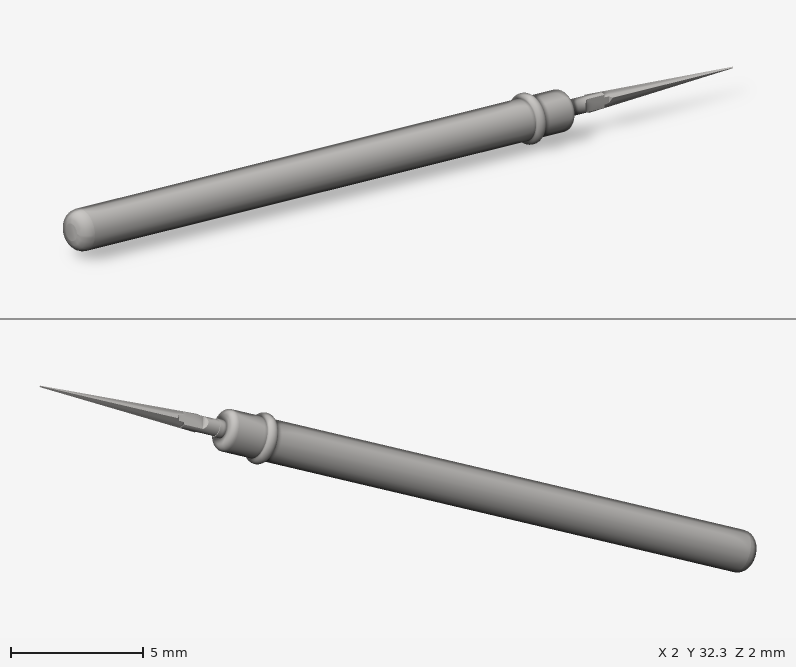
import cadquery as cq
import math

total_length = 32.3
handle_length = 24.03
front_y = -total_length / 2
shoulder_y = front_y + handle_length
tip_y = total_length / 2

handle_diameter = 1.65
handle_radius = handle_diameter / 2
front_fillet = 0.5
shoulder_fillet = 0.242

bead_outer_radius = 1.0
bead_tube_radius = 0.242
bead_setback = 1.78

collar_radius = 0.35
collar_length = 0.3
shank_radius = 0.32
shank_length = 1.85

needle_root_half_diagonal = 0.35
needle_tip_half_diagonal = 0.03
needle_twist_degrees = 20
needle_start = 1.13

flat_half_thickness = 0.2
flat_start = 0.78
flat_end = 2.25
flat_ramp = 0.2


def make_rod(start_y, radius, length):
    """Round rod along the part axis, growing toward +Y."""
    plane = cq.Plane(origin=(0, start_y, 0), xDir=(1, 0, 0), normal=(0, 1, 0))
    return cq.Workplane(plane).circle(radius).extrude(length)


def make_handle():
    rod = make_rod(front_y, handle_radius, handle_length)
    rod = rod.faces("<Y").edges().fillet(front_fillet)
    return rod.faces(">Y").edges().fillet(shoulder_fillet)


def make_bead():
    """Ring of round section whose inner part is buried in the handle."""
    section_radius = bead_outer_radius - bead_tube_radius
    inner_radius = section_radius - bead_tube_radius
    return (
        cq.Workplane("XY", origin=(0, shoulder_y - bead_setback, 0))
        .moveTo(inner_radius, -bead_tube_radius)
        .lineTo(section_radius, -bead_tube_radius)
        .threePointArc((bead_outer_radius, 0), (section_radius, bead_tube_radius))
        .lineTo(inner_radius, bead_tube_radius)
        .close()
        .revolve(360, (0, 0, 0), (0, 1, 0))
    )


def square_section(y, half_diagonal, turn_degrees):
    """Square wire at y; a zero turn puts its corners on the X and Z axes."""
    corners = []
    for corner in range(4):
        angle = math.radians(turn_degrees + 90 * corner)
        corners.append(cq.Vector(half_diagonal * math.cos(angle), y, half_diagonal * math.sin(angle)))
    return cq.Wire.makePolygon(corners, close=True)


def make_needle():
    root = square_section(shoulder_y + needle_start, needle_root_half_diagonal, needle_twist_degrees)
    tip = square_section(tip_y, needle_tip_half_diagonal, 0)
    return cq.Workplane(obj=cq.Solid.makeLoft([root, tip], True))


def make_flat_cutter(side):
    """Trapezoidal cutter with a sloped run-out at each end; side is +1 or -1."""
    start_y = shoulder_y + flat_start
    end_y = shoulder_y + flat_end
    inner_x = side * flat_half_thickness
    outer_x = side * needle_root_half_diagonal
    return (
        cq.Workplane("XY")
        .moveTo(outer_x, start_y)
        .lineTo(inner_x, start_y + flat_ramp)
        .lineTo(inner_x, end_y - flat_ramp)
        .lineTo(outer_x, end_y)
        .close()
        .extrude(needle_root_half_diagonal, both=True)
    )


def make_working_end():
    """Shank and needle together, thinned by a flat on each side."""
    working_end = make_rod(shoulder_y, shank_radius, shank_length).union(make_needle())
    for side in (-1, 1):
        working_end = working_end.cut(make_flat_cutter(side))
    return working_end


collar = make_rod(shoulder_y, collar_radius, collar_length)
result = make_handle().union(make_bead()).union(collar).union(make_working_end())